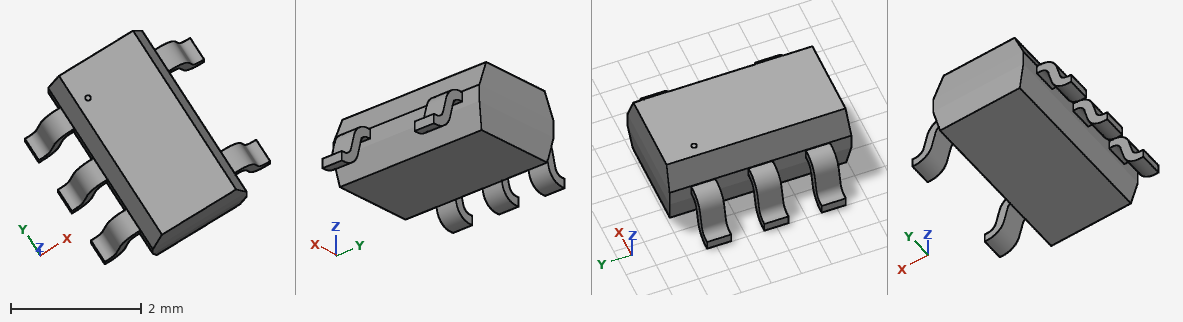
import cadquery as cq
import math

BODY_WIDTH = 1.705
BODY_LENGTH = 3.02
BODY_BOTTOM_Z = 0.057
BAND_BOTTOM_Z = 0.507
BAND_TOP_Z = 0.788
BODY_TOP_Z = 1.25
TOP_INSET_X = 0.18
TOP_INSET_Y = 0.025
BOTTOM_INSET_X = 0.1
BOTTOM_INSET_Y = 0.045

LEAD_SPAN = 3.0
LEAD_WIDTH = 0.402
LEAD_THICKNESS = 0.163
LEAD_TOP_Z = 0.775
LEAD_PITCH = 0.95
FOOT_LENGTH = 0.06
BEND_INNER_RADIUS = 0.155
BEND_OUTER_RADIUS = BEND_INNER_RADIUS + LEAD_THICKNESS
BEND_ANGLE = math.radians(75)

MARKER_DIAMETER = 0.085
MARKER_DEPTH = 0.03
MARKER_X = -0.48
MARKER_Y = LEAD_PITCH


def make_marker():
    return (
        cq.Workplane("XY", origin=(MARKER_X, MARKER_Y, BODY_TOP_Z - MARKER_DEPTH))
        .circle(MARKER_DIAMETER / 2)
        .extrude(MARKER_DEPTH)
    )


def make_cap(band_z, end_z, inset_x, inset_y):
    """Tapered block from the full band outline to a smaller flat face."""
    return (
        cq.Workplane("XY", origin=(0, 0, band_z))
        .rect(BODY_WIDTH, BODY_LENGTH)
        .workplane(offset=end_z - band_z)
        .rect(BODY_WIDTH - 2 * inset_x, BODY_LENGTH - 2 * inset_y)
        .loft(ruled=True)
    )


def make_housing():
    band = (
        cq.Workplane("XY", origin=(0, 0, BAND_BOTTOM_Z))
        .rect(BODY_WIDTH, BODY_LENGTH)
        .extrude(BAND_TOP_Z - BAND_BOTTOM_Z)
    )
    upper_cap = make_cap(BAND_TOP_Z, BODY_TOP_Z, TOP_INSET_X, TOP_INSET_Y)
    lower_cap = make_cap(BAND_BOTTOM_Z, BODY_BOTTOM_Z, BOTTOM_INSET_X, BOTTOM_INSET_Y)
    return band.union(upper_cap).union(lower_cap).cut(make_marker())


def make_left_lead(center_y):
    """S-shaped strip from the foot tip up to the -X face of the housing."""
    tip_x = -LEAD_SPAN / 2
    wall_x = -BODY_WIDTH / 2
    shoulder_bottom_z = LEAD_TOP_Z - LEAD_THICKNESS

    radius_sum = BEND_INNER_RADIUS + BEND_OUTER_RADIUS
    leg_rise = shoulder_bottom_z - radius_sum * (1 - math.cos(BEND_ANGLE))
    leg_run = leg_rise / math.tan(BEND_ANGLE)
    lower_x = tip_x + FOOT_LENGTH
    lower_z = LEAD_THICKNESS + BEND_INNER_RADIUS
    upper_x = lower_x + radius_sum * math.sin(BEND_ANGLE) + leg_run
    upper_z = LEAD_TOP_Z - BEND_OUTER_RADIUS

    def lower_bend(radius, angle):
        return (lower_x + radius * math.sin(angle), lower_z - radius * math.cos(angle))

    def upper_bend(radius, angle):
        return (upper_x - radius * math.sin(angle), upper_z + radius * math.cos(angle))

    half_angle = BEND_ANGLE / 2
    profile = (
        cq.Workplane("XZ", origin=(0, center_y + LEAD_WIDTH / 2, 0))
        .moveTo(tip_x, 0)
        .lineTo(lower_x, 0)
        .threePointArc(
            lower_bend(BEND_OUTER_RADIUS, half_angle),
            lower_bend(BEND_OUTER_RADIUS, BEND_ANGLE),
        )
        .lineTo(*upper_bend(BEND_INNER_RADIUS, BEND_ANGLE))
        .threePointArc(
            upper_bend(BEND_INNER_RADIUS, half_angle),
            upper_bend(BEND_INNER_RADIUS, 0),
        )
        .lineTo(wall_x, shoulder_bottom_z)
        .lineTo(wall_x, LEAD_TOP_Z)
        .lineTo(upper_x, LEAD_TOP_Z)
        .threePointArc(
            upper_bend(BEND_OUTER_RADIUS, half_angle),
            upper_bend(BEND_OUTER_RADIUS, BEND_ANGLE),
        )
        .lineTo(*lower_bend(BEND_INNER_RADIUS, BEND_ANGLE))
        .threePointArc(
            lower_bend(BEND_INNER_RADIUS, half_angle),
            lower_bend(BEND_INNER_RADIUS, 0),
        )
        .lineTo(tip_x, LEAD_THICKNESS)
        .close()
    )
    return profile.extrude(LEAD_WIDTH)


def make_leads():
    """Three leads on the -X side and two, mirrored, on the +X side."""
    leads = []
    for center_y in (LEAD_PITCH, 0, -LEAD_PITCH):
        leads.append(make_left_lead(center_y))
    for center_y in (LEAD_PITCH, -LEAD_PITCH):
        leads.append(make_left_lead(center_y).mirror("YZ"))
    return leads


housing = make_housing()
marker = make_marker()
leads = make_leads()

result = cq.Compound.makeCompound(
    [housing.val(), marker.val(), *[lead.val() for lead in leads]]
)